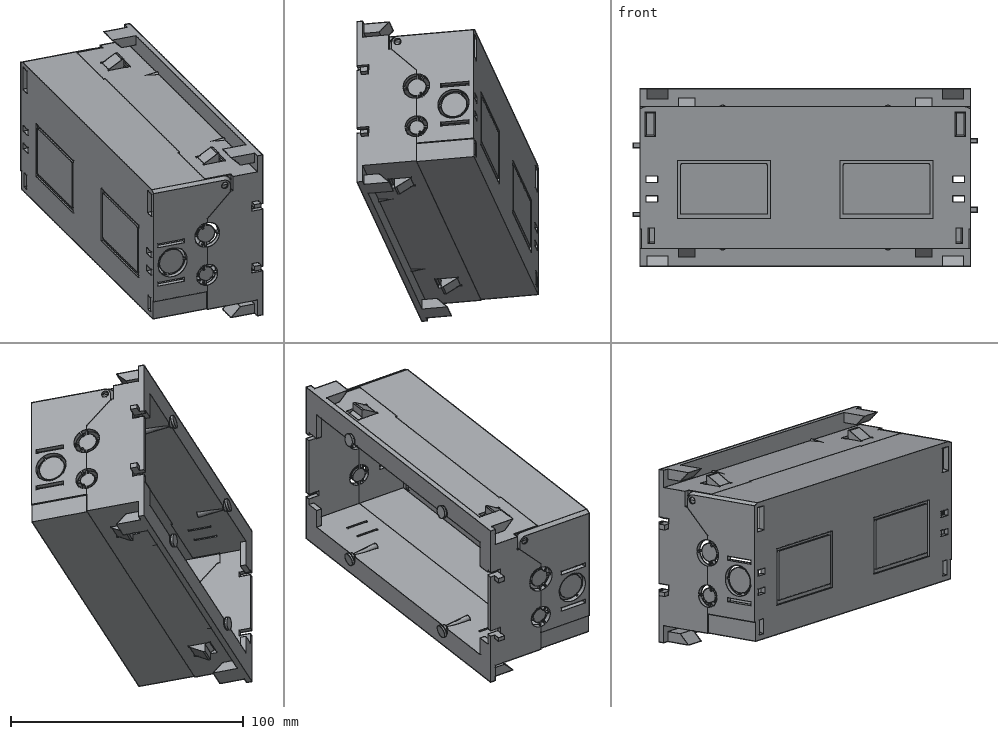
import cadquery as cq
import math

HALF_WIDTH = 71.0
HEIGHT = 61.0
HALF_HEIGHT = HEIGHT / 2
DEPTH = 51.1
WALL = 2.2
FLANGE_TOP_Z = 38.1
FLANGE_FRONT = 48.6
TOTAL_DEPTH = 53.4
SIDES = (-1, 1)
LEVELS = (-1, 1)

SEAM_Y = 25.1
SEAM_MIDDLE_Y = 25.9
SEAM_MIDDLE_HALF_WIDTH = 39.8
TONGUE_END_Y = 37.2
TONGUE_INNER_X = 68.1
TONGUE_LOW_Z = 12.7
TONGUE_HIGH_Z = 23.8
TONGUE_SLOPE_Y = 36.2

CHAMFER_X = 2.0
CHAMFER_Z = 0.96
CHAMFER_Y = 1.3
TONGUE_ROOT_RADIUS = 3.7
TONGUE_FACE_RADIUS = 3.0
SIDE_RELIEF_TOP_Z = -22.0
SIDE_RELIEF_DEPTH = 0.7
DETENT_Y = 33.4
DETENT_Z = 27.0
DETENT_RADIUS = 1.5
DETENT_DEPTH = 0.6
DETENT_RAMP = 0.9

VENT_X = (63.4, 68.3)
VENT_BOTTOMS = (-2.0, -10.5)
VENT_HEIGHT = 2.7
UPPER_WINDOW = (64.3, 68.7, 17.6, 28.2)
UPPER_WINDOW_INSIDE = (64.9, 68.1, 18.2, 27.6)
LOWER_WINDOW = (64.7, 67.4, -28.2, -21.6)
LOWER_WINDOW_INSIDE = (64.7, 66.8, -27.6, -21.6)
CORNER_PLATE_INNER_X = 62.8
UPPER_PLATE_BOTTOM_Z = 16.3
LOWER_PLATE_TOP_Z = -20.0

PANEL_X = (15.0, 54.8)
PANEL_Z = (-17.6, 7.4)
GROOVE_WIDTH = 1.3
GROOVE_BOTTOM_WIDTH = 1.9
GROOVE_DEPTH = 0.9
PANEL_CORNER_RADIUS = 0.9

SLOT_Y = (2.0, 14.5)
SLOT_BOTTOMS = (3.4, -15.0)
SLOT_HEIGHT = 1.8
BRIDGE_WIDTH = 0.7
BRIDGE_OVERLAP = 0.3
BRIDGE_ANGLE = 60.0
DISC_RECESS = 1.11
SEAM_KNOCKOUTS = ((5.0, 5.8, 4.0), (-14.0, 4.9, 3.3))
FRONT_KNOCKOUT_Y = 8.9
FRONT_KNOCKOUT_Z = -4.9
FRONT_KNOCKOUT_RADIUS = 6.8
FRONT_DISC_RADIUS = 5.6
NUB_LENGTH = 1.2

HOOK_X = (58.8, 68.0)
HOOK_TIP_Y = 37.5
HOOK_FOOT_Y = 42.0
HOOK_FOOT_Z = 33.7
LATCH_X = (47.3, 54.4)
LATCH_SLIT = 0.9
LATCH_FRONT_Y = 30.9
LATCH_CREST_Y = (37.1, 38.0)
LATCH_HEIGHT = 3.5
LATCH_GROOVE_Y = (39.8, 40.6)
LATCH_GROOVE_DEPTH = 1.0
SLIT_FRONT_Y = 30.5
TAB_REACH = 73.9
TAB_Y = (46.0, 49.0)
TAB_JOINT_Z = 15.0
TALL_TAB_HEIGHT = 2.2
SHORT_TAB_HEIGHT = 1.8
TALL_NOTCH_HEIGHT = 2.7
SHORT_NOTCH_HEIGHT = 2.2

SCREW_X = 35.5
SCREW_HEAD_Z = 30.2
SCREW_TILT = 7.5
HEAD_RADIUS = 2.8
HEAD_THICKNESS = 1.11
NECK_RADIUS = 2.2
NECK_LENGTH = 1.5
SHANK_RADIUS = 1.5
SHANK_LENGTH = 11.8
SCREW_HEAD_TOP_Y = TOTAL_DEPTH - HEAD_RADIUS * math.sin(math.radians(SCREW_TILT))


def block(x_range, y_range, z_range):
    """Box between the given X, Y and Z limits, in either order."""
    ranges = (x_range, y_range, z_range)
    sizes = [max(r) - min(r) for r in ranges]
    return cq.Workplane("XY").box(*sizes, centered=False).translate(tuple(min(r) for r in ranges))


def side_block(side, x_range, y_range, z_range):
    """Block given for the +X side, placed on the chosen side."""
    return block([side * x for x in x_range], y_range, z_range)


def prism_along_x(points, x_range):
    """Prism of a (Y, Z) outline between two X values."""
    low = min(x_range)
    return cq.Workplane("YZ").workplane(offset=low).polyline(points).close().extrude(max(x_range) - low)


def cylinder_along_x(y, z, radius, x_range):
    low = min(x_range)
    return cq.Workplane("YZ").workplane(offset=low).center(y, z).circle(radius).extrude(max(x_range) - low)


def side_wall_x(side):
    """X range of a side wall."""
    return (side * (HALF_WIDTH - WALL), side * HALF_WIDTH)


def bridge(side, y, z, angle, start, end, outer_gap, shift=0.0):
    """Radial bar across a knockout ring; angle 0 points to the front and 90 points up."""
    x_range = (side * (HALF_WIDTH - WALL), side * (HALF_WIDTH - outer_gap))
    bar = block(x_range, (-end, -start), (-BRIDGE_WIDTH / 2, BRIDGE_WIDTH / 2))
    return bar.rotate((0, 0, 0), (1, 0, 0), -angle).translate((0, y - shift, z))


def ring_cut(side, y, z, hole_radius, disc_radius, bridges):
    """Ring-shaped cut around a knockout disc, interrupted by its bridges, with the disc set back."""
    x_range = side_wall_x(side)
    ring = cylinder_along_x(y, z, hole_radius, x_range).cut(cylinder_along_x(y, z, disc_radius, x_range))
    for bar in bridges:
        ring = ring.cut(bar)
    recess = cylinder_along_x(y, z, disc_radius, (side * (HALF_WIDTH - DISC_RECESS), side * HALF_WIDTH))
    for bar in bridges:
        recess = recess.cut(bar)
    return ring.union(recess)


def seam_ring_cut(side, z, hole_radius, disc_radius):
    """Ring of a knockout on the seam: five bridges on the cover and a nub on the frame."""
    reach = (disc_radius - BRIDGE_OVERLAP, hole_radius + BRIDGE_WIDTH)
    bars = [bridge(side, SEAM_Y, z, a, *reach, 0.0) for a in (-BRIDGE_ANGLE, BRIDGE_ANGLE)]
    bars.append(bridge(side, SEAM_Y, z, 0, *reach, DISC_RECESS))
    bars += [bridge(side, SEAM_Y, z, a, *reach, DISC_RECESS, BRIDGE_WIDTH / 2) for a in (-90, 90)]
    bars.append(bridge(side, SEAM_Y, z, 180, hole_radius - NUB_LENGTH, reach[1], 0.0))
    return ring_cut(side, SEAM_Y, z, hole_radius, disc_radius, bars)


def front_ring_cut(side):
    """Ring of the larger knockout near the front, with three bridges."""
    reach = (FRONT_DISC_RADIUS - BRIDGE_OVERLAP, FRONT_KNOCKOUT_RADIUS + BRIDGE_WIDTH)
    centre = (FRONT_KNOCKOUT_Y, FRONT_KNOCKOUT_Z)
    bars = [bridge(side, *centre, a, *reach, DISC_RECESS) for a in (-BRIDGE_ANGLE, BRIDGE_ANGLE, 180)]
    return ring_cut(side, *centre, FRONT_KNOCKOUT_RADIUS, FRONT_DISC_RADIUS, bars)


def make_box_shell():
    """The whole box, open at the back, with the knockouts cut; cover and frame are split from it."""
    inner_x = HALF_WIDTH - WALL
    inner_z = HALF_HEIGHT - WALL
    shell = block((-HALF_WIDTH, HALF_WIDTH), (0, DEPTH), (-HALF_HEIGHT, HALF_HEIGHT))
    shell = shell.cut(block((-inner_x, inner_x), (WALL, DEPTH), (-inner_z, inner_z)))
    for side in SIDES:
        for knockout in SEAM_KNOCKOUTS:
            shell = shell.cut(seam_ring_cut(side, *knockout))
        shell = shell.cut(front_ring_cut(side))
    return shell


def make_cover_zone():
    """Space in front of the seam, with the tongues and the knockout discs that lie on the seam."""
    zone = block((-HALF_WIDTH, HALF_WIDTH), (0, SEAM_Y), (-HALF_HEIGHT, HALF_HEIGHT))
    zone = zone.union(block(
        (-SEAM_MIDDLE_HALF_WIDTH, SEAM_MIDDLE_HALF_WIDTH), (0, SEAM_MIDDLE_Y), (0, HALF_HEIGHT)))
    tongue_outline = [
        (0, TONGUE_LOW_Z), (SEAM_Y, TONGUE_LOW_Z), (TONGUE_SLOPE_Y, TONGUE_HIGH_Z),
        (TONGUE_END_Y, TONGUE_HIGH_Z), (TONGUE_END_Y, HALF_HEIGHT), (0, HALF_HEIGHT)]
    for side in SIDES:
        zone = zone.union(prism_along_x(tongue_outline, (side * TONGUE_INNER_X, side * HALF_WIDTH)))
        for z, _, disc_radius in SEAM_KNOCKOUTS:
            zone = zone.union(cylinder_along_x(SEAM_Y, z, disc_radius, side_wall_x(side)))
    return zone


def bevel_outline(x, end_y, top_z, radius):
    """Outline of a tongue's upper part at the given X, with a round back corner."""
    arc_middle = radius * (1 - math.sqrt(0.5))
    return (cq.Workplane("YZ", origin=(x, 0, 0))
            .moveTo(0, TONGUE_HIGH_Z).lineTo(end_y, TONGUE_HIGH_Z).lineTo(end_y, top_z - radius)
            .threePointArc((end_y - arc_middle, top_z - arc_middle), (end_y - radius, top_z))
            .lineTo(0, top_z).close().wires().val())


def bevel_cut(side):
    """Waste around the bevelled upper edge and back edge on one side of the cover."""
    inner_x = side * (HALF_WIDTH - CHAMFER_X)
    outer_x = side * HALF_WIDTH
    inner = bevel_outline(inner_x, TONGUE_END_Y, HALF_HEIGHT, TONGUE_ROOT_RADIUS)
    outer = bevel_outline(outer_x, TONGUE_END_Y - CHAMFER_Y, HALF_HEIGHT - CHAMFER_Z, TONGUE_FACE_RADIUS)
    bevelled = cq.Workplane(cq.Solid.makeLoft([inner, outer], True))
    return block((inner_x, outer_x), (0, TONGUE_END_Y), (TONGUE_HIGH_Z, HALF_HEIGHT)).cut(bevelled)


def side_relief(side):
    """Shallow step that sets back the lower part of a cover side."""
    x_range = (HALF_WIDTH - SIDE_RELIEF_DEPTH, HALF_WIDTH)
    return side_block(side, x_range, (0, SEAM_Y), (-HALF_HEIGHT, SIDE_RELIEF_TOP_Z))


def detent_recess(side):
    """Round recess in a tongue; the upper half of its floor slopes inwards."""
    face = side * HALF_WIDTH
    floor = side * (HALF_WIDTH - DETENT_DEPTH)
    deepest = side * (HALF_WIDTH - DETENT_DEPTH - DETENT_RAMP)
    low = DETENT_Z - DETENT_RADIUS
    high = DETENT_Z + DETENT_RADIUS
    profile = (cq.Workplane("XZ")
               .polyline([(face, low), (floor, low), (floor, DETENT_Z), (deepest, high), (face, high)])
               .close().extrude(-TONGUE_END_Y))
    return profile.intersect(cylinder_along_x(DETENT_Y, DETENT_Z, DETENT_RADIUS, side_wall_x(side)))


def panel_groove(side):
    """Groove around one front panel; the panel's upper corners are rounded."""
    x_low, x_high = PANEL_X
    z_low, z_high = PANEL_Z
    depth = (0, GROOVE_DEPTH)
    panel = side_block(side, (x_low + GROOVE_WIDTH, x_high - GROOVE_WIDTH), depth,
                       (z_low + GROOVE_BOTTOM_WIDTH, z_high - GROOVE_WIDTH))
    panel = panel.edges("|Y and >Z").fillet(PANEL_CORNER_RADIUS)
    return side_block(side, PANEL_X, depth, PANEL_Z).cut(panel)


def tapered_window(side, window, inner_window):
    """Window through the front wall that narrows evenly towards the inside."""
    rims = []
    for y, (x_low, x_high, z_low, z_high) in ((0, window), (WALL, inner_window)):
        corners = [(x_low, z_low), (x_high, z_low), (x_high, z_high), (x_low, z_high)]
        rims.append(cq.Wire.makePolygon([cq.Vector(side * x, y, z) for x, z in corners], close=True))
    return cq.Workplane(cq.Solid.makeLoft(rims, True))


def make_cover(shell, zone):
    """Front part of the box with its edge bevels, panels and openings."""
    cover = shell.intersect(zone)
    for side in SIDES:
        cover = cover.cut(bevel_cut(side)).cut(detent_recess(side)).cut(panel_groove(side))
        cover = cover.cut(side_relief(side))
        cover = cover.cut(tapered_window(side, UPPER_WINDOW, UPPER_WINDOW_INSIDE))
        cover = cover.cut(tapered_window(side, LOWER_WINDOW, LOWER_WINDOW_INSIDE))
        for bottom in VENT_BOTTOMS:
            cover = cover.cut(side_block(side, VENT_X, (0, WALL), (bottom, bottom + VENT_HEIGHT)))
        for bottom in SLOT_BOTTOMS:
            cover = cover.cut(block(side_wall_x(side), SLOT_Y, (bottom, bottom + SLOT_HEIGHT)))
    return cover


def hook(side):
    """Wedge hook at an upper corner of the flange."""
    outline = [
        (FLANGE_FRONT, FLANGE_TOP_Z), (HOOK_TIP_Y, FLANGE_TOP_Z),
        (HOOK_FOOT_Y, HOOK_FOOT_Z), (FLANGE_FRONT, HOOK_FOOT_Z)]
    return prism_along_x(outline, [side * x for x in HOOK_X])


def latch_cut(side):
    """Two slits through the top wall and the groove behind the latch between them."""
    x_low, x_high = LATCH_X
    wall_z = (HALF_HEIGHT - WALL, HALF_HEIGHT)
    slit_y = (SLIT_FRONT_Y, LATCH_GROOVE_Y[1])
    cut = side_block(side, (x_low - LATCH_SLIT, x_low), slit_y, wall_z)
    cut = cut.union(side_block(side, (x_high, x_high + LATCH_SLIT), slit_y, wall_z))
    groove_z = HALF_HEIGHT - LATCH_GROOVE_DEPTH
    outline = [
        (LATCH_CREST_Y[1], HALF_HEIGHT), (LATCH_GROOVE_Y[0], groove_z),
        (LATCH_GROOVE_Y[1], groove_z), (LATCH_GROOVE_Y[1], HALF_HEIGHT)]
    return cut.union(prism_along_x(outline, [side * x for x in LATCH_X]))


def latch(side):
    """Wedge latch on the top wall, rising towards the back."""
    crest_z = HALF_HEIGHT + LATCH_HEIGHT
    root_z = HALF_HEIGHT - WALL
    outline = [
        (LATCH_FRONT_Y, root_z), (LATCH_FRONT_Y, HALF_HEIGHT), (LATCH_CREST_Y[0], crest_z),
        (LATCH_CREST_Y[1], crest_z), (LATCH_CREST_Y[1], root_z)]
    return prism_along_x(outline, [side * x for x in LATCH_X])


def add_in_mirrored_pair(frame, feature):
    """Add a feature at the top and its mirror image at the bottom."""
    return frame.union(feature).union(feature.mirror("XY"))


def add_side_tabs(frame):
    """Tabs on both sides, each beside a notch; the two sides match by a half turn about Y."""
    tab_x = (HALF_WIDTH - WALL, TAB_REACH)
    wall_x = (HALF_WIDTH - WALL, HALF_WIDTH)
    notch_y = (TAB_Y[0], DEPTH)
    for side in SIDES:
        inner_joint = -side * TAB_JOINT_Z
        outer_joint = side * TAB_JOINT_Z
        tall_tab = (inner_joint, inner_joint + side * TALL_TAB_HEIGHT)
        short_notch = (inner_joint, inner_joint - side * SHORT_NOTCH_HEIGHT)
        short_tab = (outer_joint, outer_joint + side * SHORT_TAB_HEIGHT)
        tall_notch = (outer_joint, outer_joint - side * TALL_NOTCH_HEIGHT)
        for notch_z in (short_notch, tall_notch):
            frame = frame.cut(side_block(side, wall_x, notch_y, notch_z))
        for tab_z in (tall_tab, short_tab):
            frame = frame.union(side_block(side, tab_x, TAB_Y, tab_z))
    return frame


def make_screw(side, level):
    """Tilted screw on the chosen side; level is 1 for the top pair and -1 for the bottom pair."""
    screw = cq.Workplane("XZ").circle(HEAD_RADIUS).extrude(HEAD_THICKNESS)
    screw = screw.faces("<Y").workplane().circle(NECK_RADIUS).extrude(NECK_LENGTH)
    screw = screw.faces("<Y").workplane().circle(SHANK_RADIUS).extrude(SHANK_LENGTH)
    screw = screw.rotate((0, 0, 0), (1, 0, 0), level * SCREW_TILT)
    return screw.translate((side * SCREW_X, SCREW_HEAD_TOP_Y, level * SCREW_HEAD_Z))


def make_frame(shell, zone, screws):
    """Back part of the box with its flange, hooks, latches, side tabs and screw holes."""
    frame = shell.cut(zone)
    flange = block((-HALF_WIDTH, HALF_WIDTH), (FLANGE_FRONT, DEPTH), (HALF_HEIGHT - WALL, FLANGE_TOP_Z))
    frame = add_in_mirrored_pair(frame, flange)
    for side in SIDES:
        frame = add_in_mirrored_pair(frame, hook(side))
        frame = frame.cut(latch_cut(side)).cut(latch_cut(side).mirror("XY"))
        frame = add_in_mirrored_pair(frame, latch(side))
        plate_x = (CORNER_PLATE_INNER_X, HALF_WIDTH - WALL)
        plate_y = (FLANGE_FRONT, DEPTH)
        frame = frame.union(side_block(side, plate_x, plate_y, (UPPER_PLATE_BOTTOM_Z, HALF_HEIGHT - WALL)))
        frame = frame.union(side_block(side, plate_x, plate_y, (LOWER_PLATE_TOP_Z, WALL - HALF_HEIGHT)))
    frame = add_side_tabs(frame)
    for screw in screws:
        frame = frame.cut(screw)
    return frame


shell = make_box_shell()
cover_zone = make_cover_zone()
cover = make_cover(shell, cover_zone)
screws = [make_screw(side, level) for side in SIDES for level in LEVELS]
frame = make_frame(shell, cover_zone, screws)

bodies = [cover.solids().val(), frame.solids().val(), *[screw.solids().val() for screw in screws]]
result = cq.Compound.makeCompound(bodies)